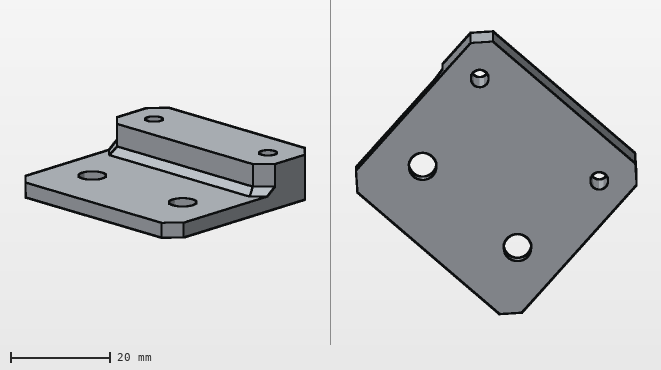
import cadquery as cq

width = 44.45
depth = 41.4
plate_thickness = 3.175
corner_chamfer = 3.175

total_height = 9.53
block_depth = 15.0
block_base_chamfer = 1.6
flare_angle = 45

block_hole_diameter = 3.57
block_hole_spacing = 32.0
block_hole_from_back = block_depth / 2
plate_hole_diameter = 5.56
plate_hole_spacing = 25.4
plate_hole_from_front = 12.7

back_y = depth / 2
front_y = -depth / 2
block_center_y = back_y - block_depth / 2


def chamfered_slab(length_y, center_y, height):
    """Full-width slab standing on Z = 0 with its four vertical corners cut at 45 degrees."""
    slab = cq.Workplane("XY").center(0, center_y).rect(width, length_y).extrude(height)
    return slab.edges("|Z").chamfer(corner_chamfer)


def block_base_flare(block, envelope):
    """45 degree flare around the foot of the block, trimmed to the sides of the plate."""
    outline = block.faces("<Z").wires().val()
    foot = outline.offset2D(block_base_chamfer, "intersection")[0]
    flare = (
        cq.Workplane("XY")
        .add(foot)
        .toPending()
        .extrude(block_base_chamfer, taper=flare_angle)
        .translate((0, 0, plate_thickness))
    )
    return flare.intersect(envelope)


def through_holes(diameter, spacing, row_y):
    """Pair of vertical cutting cylinders placed symmetrically about X = 0."""
    centers = [(-spacing / 2, row_y), (spacing / 2, row_y)]
    return cq.Workplane("XY").pushPoints(centers).circle(diameter / 2).extrude(total_height)


plate = chamfered_slab(depth, 0, plate_thickness)
block = chamfered_slab(block_depth, block_center_y, total_height)
plate_envelope = chamfered_slab(depth, 0, total_height)
flare = block_base_flare(block, plate_envelope)

body = plate.union(block).union(flare).clean()
body = body.cut(through_holes(block_hole_diameter, block_hole_spacing, back_y - block_hole_from_back))
result = body.cut(through_holes(plate_hole_diameter, plate_hole_spacing, front_y + plate_hole_from_front))